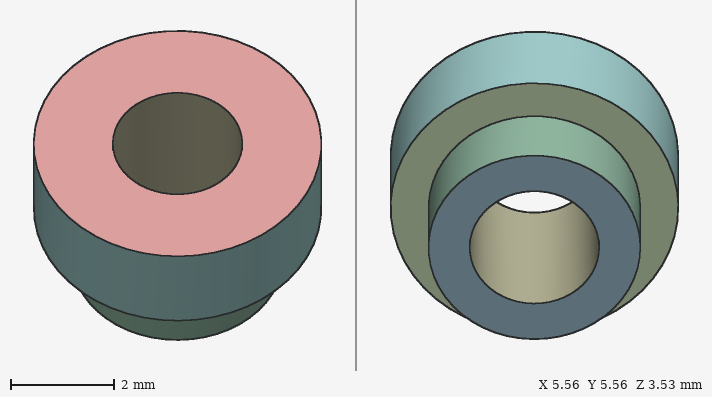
import cadquery as cq

head_diameter = 5.56
shank_diameter = 4.09
bore_diameter = 2.5
total_height = 3.53
head_height = 2.0
shank_height = total_height - head_height

shank = cq.Workplane("XY").circle(shank_diameter / 2).extrude(shank_height)

shouldered_body = shank.faces(">Z").workplane().circle(head_diameter / 2).extrude(head_height)

result = shouldered_body.faces(">Z").workplane().circle(bore_diameter / 2).cutThruAll()